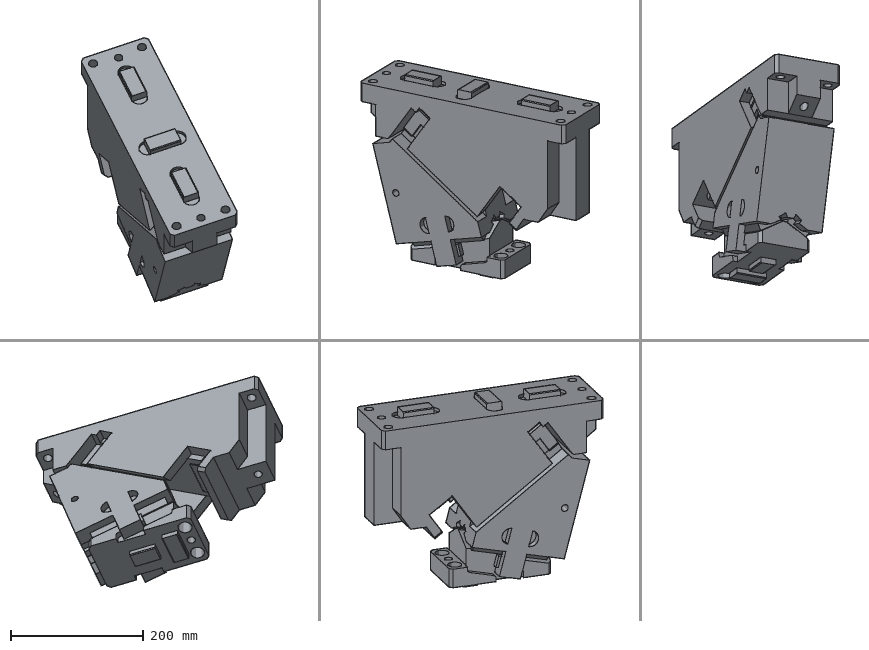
import cadquery as cq
import math

LENGTH = 360.0
HALF_WIDTH = 55.0
CORNER_CHAMFER = 5.0
ROOF_SLOPE = math.tan(math.radians(30))
REACH = 720.0
KEY_HEIGHT = 9.0
KEY_WIDTH = 25.2
KEY_LENGTH = 50.0
KEY_BEVEL = 1.5

DRIVE_ANGLE = math.radians(-15)
DRIVE_ORIGIN = (145.5, -208.8)
GUIDE_ANGLE = math.radians(35)
SLIDE_LEFT_HEIGHT = 24.5

PLATE_THICKNESS = 30.2
BODY_LEFT = 29.5
BODY_RIGHT = 331.2
BODY_BOTTOM = -165.2
RIB_HALF_WIDTH = 19.8
NOSE_BOTTOM = -81.5
NOSE_RIB_BOTTOM = -60.0
ARM_OUTER = -55.0
ARM_INNER = -40.0
ARM_TIP = 34.5
NOTCH_TOP = 75.2
SLOT_TOP = 65.0
WALL_BOTTOM = 5.8
WALL_START = 5.5
WALL_END = 155.5
POCKET_END = 178.5
NOTCH_END = 188.3
CEILING_START = -21.2
PLATE_HOLE_DIAMETER = 13.5
DOWEL_DIAMETER = 12.2

NECK_HALF_WIDTH = 28.5
NECK_HEIGHT = 15.5
HEAD_HALF_WIDTH = 39.0
HEAD_HEIGHT = 61.2
HEAD_END = 183.2
TAB_START = 56.5
TAB_END = 91.8
TAB_BOTTOM = -40.5
POCKET_FLOOR = 44.3
SLIDE_BOTTOM_LENGTH = 154.8

BASE_LEFT = 114.0
BASE_RIGHT = 279.5
BASE_TOP = -244.8
BASE_BOTTOM = -275.0
DRIVER_HALF_WIDTH = 43.2
BLOCK_LEFT = 143.3
NECK_SIDE = 35.0
RIDGE_HALF_WIDTH = 3.2
EAVE_HEIGHT = -8.5


def frame_point(origin, angle, along, height):
    """Turn a position in a tilted guide frame into X and Z."""
    x = origin[0] + along * math.cos(angle) - height * math.sin(angle)
    z = origin[1] + along * math.sin(angle) + height * math.cos(angle)
    return (x, z)


def on_drive(along, height):
    return frame_point(DRIVE_ORIGIN, DRIVE_ANGLE, along, height)


GUIDE_ORIGIN = on_drive(0, SLIDE_LEFT_HEIGHT)


def on_guide(along, height):
    return frame_point(GUIDE_ORIGIN, GUIDE_ANGLE, along, height)


def side_prism(points, y_from, y_to):
    """Prism with an XZ outline, reaching from y_from to y_to."""
    return cq.Workplane("XZ", origin=(0, y_from, 0)).polyline(points).close().extrude(y_from - y_to)


def centred_prism(points, half_width):
    return side_prism(points, -half_width, half_width)


def both_sides(points, y_inner, y_outer):
    """The same prism on the -Y and on the +Y side."""
    return side_prism(points, -y_outer, -y_inner).union(side_prism(points, y_inner, y_outer))


def frame_rectangle(place, start, end, bottom, top):
    return [place(start, bottom), place(end, bottom), place(end, top), place(start, top)]


def guide_profile(place, angle, profile, start, end):
    """Sweep a (y, height) outline along a tilted guide from start to end."""
    x, z = place(start, 0)
    direction = (math.cos(angle), 0, math.sin(angle))
    plane = cq.Plane(origin=(x, 0, z), xDir=(0, 1, 0), normal=direction)
    return cq.Workplane(plane).polyline(profile).close().extrude(end - start)


def mirrored(half_profile):
    """Close a one-sided (y, height) outline over the plane y = 0."""
    return half_profile + [(-y, height) for y, height in reversed(half_profile)]


def roof_height(y):
    return EAVE_HEIGHT + (NECK_SIDE - y) * ROOF_SLOPE


def chamfered_plate(left, right, half_width, bottom, top):
    plate = cq.Workplane("XY", origin=(0, 0, bottom)).center((left + right) / 2, 0)
    return plate.rect(right - left, 2 * half_width).extrude(top - bottom).edges("|Z").chamfer(CORNER_CHAMFER)


def key(length, root, tip):
    """Key along X from root to tip, bevelled along the long edges of the tip."""
    block = cq.Workplane("XY", origin=(0, 0, root)).rect(length, KEY_WIDTH).extrude(tip - root)
    free_end = ">Z" if tip > root else "<Z"
    return block.faces(free_end).edges("|X").chamfer(KEY_BEVEL)


def quarter_turn(body):
    return body.rotate((0, 0, 0), (0, 0, 1), 90)


def holder_body():
    shoulder = [(BODY_LEFT, -140.8), (45.7, BODY_BOTTOM)]
    arm_root = (71.3, BODY_BOTTOM)
    arm_and_notch = [
        on_guide(ARM_OUTER, ARM_TIP),
        on_guide(ARM_INNER, ARM_TIP),
        on_guide(ARM_INNER, NOTCH_TOP),
        on_guide(WALL_START, NOTCH_TOP),
        on_guide(WALL_START, WALL_BOTTOM),
    ]
    notch_foot = (309.5, NOSE_BOTTOM)
    outline = [(BODY_LEFT, -PLATE_THICKNESS)] + shoulder + [arm_root] + arm_and_notch
    outline += [on_guide(NOTCH_END, WALL_BOTTOM), notch_foot]
    outline += [(BODY_RIGHT, NOSE_BOTTOM), (BODY_RIGHT, -PLATE_THICKNESS)]
    return centred_prism(outline, HALF_WIDTH)


def upper_notch():
    """Notch at the upper end of the guide; it runs up into the plate."""
    return [
        on_guide(WALL_END, 0),
        on_guide(WALL_END, NOTCH_TOP),
        on_guide(POCKET_END, NOTCH_TOP),
        on_guide(POCKET_END, SLOT_TOP),
        on_guide(NOTCH_END, SLOT_TOP),
        on_guide(NOTCH_END, 0),
    ]


def arm_tip_chamfers():
    """Wedges that bevel the two outer corners of the arm tip."""
    corner = [
        (HALF_WIDTH, ARM_TIP),
        (HALF_WIDTH, ARM_TIP + CORNER_CHAMFER),
        (HALF_WIDTH - CORNER_CHAMFER, ARM_TIP),
    ]
    wedge = guide_profile(on_guide, GUIDE_ANGLE, corner, ARM_OUTER - 3.5, ARM_INNER + 3.5)
    return wedge.union(wedge.mirror("XZ"))


def holder_end_ribs():
    left = [(0, 0), (BODY_LEFT + 18, 0), (BODY_LEFT + 18, BODY_BOTTOM), (0, BODY_BOTTOM)]
    right = [(BODY_RIGHT, 0), (LENGTH, 0), (LENGTH, NOSE_RIB_BOTTOM), (BODY_RIGHT, NOSE_BOTTOM)]
    return centred_prism(left, RIB_HALF_WIDTH).union(centred_prism(right, RIB_HALF_WIDTH))


def holder_guide_slot():
    """Slot for the slide head, opening below into a 30 degree V."""
    mouth = NECK_HEIGHT - (HALF_WIDTH - HEAD_HALF_WIDTH) * ROOF_SLOPE
    half = [
        (HEAD_HALF_WIDTH, SLOT_TOP),
        (HEAD_HALF_WIDTH, NECK_HEIGHT),
        (HALF_WIDTH, mouth),
        (HALF_WIDTH, 0),
    ]
    return guide_profile(on_guide, GUIDE_ANGLE, mirrored(half), WALL_START, WALL_END)


def holder_keys(plate):
    pocket_length = KEY_LENGTH + KEY_WIDTH
    pocket_depth = 5.0
    for x, crosswise in ((75.2, False), (193.0, True), (280.5, False)):
        pocket = cq.Workplane("XY").slot2D(pocket_length, KEY_WIDTH).extrude(-pocket_depth)
        block = key(KEY_LENGTH, -pocket_depth, KEY_HEIGHT)
        if crosswise:
            pocket = quarter_turn(pocket)
            block = quarter_turn(block)
        plate = plate.cut(pocket.translate((x, 0, 0))).union(block.translate((x, 0, 0)))
    return plate


def make_holder():
    holder = chamfered_plate(0, LENGTH, HALF_WIDTH, -PLATE_THICKNESS, 0)
    holder = holder.union(holder_body().cut(arm_tip_chamfers()).cut(holder_guide_slot()))
    holder = holder.cut(centred_prism(upper_notch(), HALF_WIDTH))
    holder = holder.union(holder_end_ribs())
    ceiling = frame_rectangle(on_guide, CEILING_START, POCKET_END, SLOT_TOP, NOTCH_TOP)
    holder = holder.union(centred_prism(ceiling, HEAD_HALF_WIDTH))
    shoe_bottom = SLOT_TOP - 1.8
    shoe = [
        on_guide(CEILING_START, SLOT_TOP),
        on_guide(CEILING_START + 7.2, shoe_bottom),
        on_guide(WALL_START, shoe_bottom),
        on_guide(WALL_START, SLOT_TOP),
    ]
    holder = holder.union(centred_prism(shoe, NECK_HALF_WIDTH))
    holder = holder_keys(holder)
    screw_y = 40.0
    screws = [(x, y) for x in (15.0, 345.0) for y in (-screw_y, screw_y)]
    dowels = [(19.8, 0), (345.0, 0)]
    for places, diameter in ((screws, PLATE_HOLE_DIAMETER), (dowels, DOWEL_DIAMETER)):
        drill = cq.Workplane("XY").pushPoints(places).circle(diameter / 2).extrude(-REACH)
        holder = holder.cut(drill)
    return holder


def slide_block():
    top_corner = 30.0
    right_height = 160.0
    outline = [
        on_drive(0, 0),
        GUIDE_ORIGIN,
        on_guide(HEAD_END, 0),
        on_drive(SLIDE_BOTTOM_LENGTH - top_corner, right_height),
        on_drive(SLIDE_BOTTOM_LENGTH, right_height),
        on_drive(SLIDE_BOTTOM_LENGTH, 0),
    ]
    return centred_prism(outline, HALF_WIDTH)


def slide_rail():
    """T-shaped rail on the ledge; its lower end continues the end face of the block."""
    lean = math.tan(GUIDE_ANGLE - DRIVE_ANGLE)

    def layer(bottom, top, end):
        return [
            on_guide(bottom * lean, bottom),
            on_guide(end, bottom),
            on_guide(end, top),
            on_guide(top * lean, top),
        ]

    rail = centred_prism(layer(0, NECK_HEIGHT, HEAD_END), NECK_HALF_WIDTH)
    rail = rail.union(centred_prism(layer(NECK_HEIGHT, HEAD_HEIGHT, HEAD_END), HEAD_HALF_WIDTH))
    rail = rail.union(centred_prism(layer(HEAD_HEIGHT, SLOT_TOP, POCKET_END), NECK_HALF_WIDTH))
    recess_reach = 9.7
    recess_end = WALL_END + recess_reach
    recess = frame_rectangle(on_guide, WALL_END - recess_reach, recess_end, NECK_HEIGHT, 44.0)
    recess_depth = 5.5
    rail = rail.cut(both_sides(recess, HEAD_HALF_WIDTH - recess_depth, HEAD_HALF_WIDTH))
    step = frame_rectangle(on_guide, recess_end, HEAD_END, NECK_HEIGHT, 17.5)
    step_depth = 1.8
    return rail.cut(both_sides(step, HEAD_HALF_WIDTH - step_depth, HEAD_HALF_WIDTH))


GUIDE_SEAT = [(5.5, 14.0), (8.5, 20.0), (18.7, 13.0), (15.5, 8.0), (30.5, 0)]


def guide_pads():
    """Pads that rest on the driver roof and stand proud of the slide bottom."""
    pad_inner = GUIDE_SEAT[0][0]
    lip_top = 43.5
    lip_y = (lip_top + ROOF_SLOPE * (EAVE_HEIGHT + NECK_SIDE * ROOF_SLOPE)) / (1 + ROOF_SLOPE ** 2)
    profile = [(pad_inner, roof_height(pad_inner))] + GUIDE_SEAT
    profile += [(lip_top, 0), (lip_y, roof_height(lip_y))]
    pad = guide_profile(on_drive, DRIVE_ANGLE, profile, 9.0, 134.5)
    return pad.union(pad.mirror("XZ"))


def side_tabs(slide):
    """Retaining tabs, each set in a round-ended pocket, with a wider pad on the inner part."""
    slot_height = 25.0
    slot_length = TAB_END - TAB_START + KEY_WIDTH
    x, z = on_drive((TAB_START + TAB_END) / 2, slot_height)
    slot = cq.Workplane("XZ", origin=(x, HALF_WIDTH, z))
    slot = slot.slot2D(slot_length, KEY_WIDTH, math.degrees(DRIVE_ANGLE)).extrude(HALF_WIDTH - POCKET_FLOOR)
    slide = slide.cut(slot).cut(slot.mirror("XZ"))
    tab_top = slot_height + KEY_WIDTH / 2
    pad_top = -11.5
    pad_bottom = -30.2
    pad_overhang = 4.0
    pad_outer = 43.5
    root = frame_rectangle(on_drive, TAB_START, TAB_END, pad_top, tab_top)
    tab = frame_rectangle(on_drive, TAB_START, TAB_END, TAB_BOTTOM, pad_top)
    inner_pad = frame_rectangle(on_drive, TAB_START - pad_overhang, TAB_END, pad_bottom, pad_top)
    slide = slide.union(both_sides(root, POCKET_FLOOR, HALF_WIDTH))
    slide = slide.union(both_sides(tab, NECK_SIDE, HALF_WIDTH))
    return slide.union(both_sides(inner_pad, NECK_SIDE, pad_outer))


def drilled_hole():
    """Blind hole along +Y with a conical tip."""
    radius = 5.5
    depth = 21.5
    tip = depth + radius * ROOF_SLOPE
    profile = [(0, 0), (radius, 0), (radius, depth), (0, tip)]
    return cq.Workplane("XY").polyline(profile).close().revolve(360, (0, 0, 0), (0, 1, 0))


def make_slide():
    seat = guide_profile(on_drive, DRIVE_ANGLE, mirrored(GUIDE_SEAT), -3.5, REACH)
    slide = slide_block().cut(seat).union(guide_pads()).union(slide_rail())
    slide = side_tabs(slide)
    x, z = on_drive(134.3, 80.0)
    hole = drilled_hole().translate((x, -HALF_WIDTH, z))
    return slide.cut(hole).cut(hole.mirror("XZ"))


def roofed_block():
    block = chamfered_plate(BASE_LEFT, BASE_RIGHT, DRIVER_HALF_WIDTH, BASE_BOTTOM, 0)
    half = [
        (RIDGE_HALF_WIDTH, roof_height(RIDGE_HALF_WIDTH)),
        (DRIVER_HALF_WIDTH, roof_height(DRIVER_HALF_WIDTH)),
        (DRIVER_HALF_WIDTH, -REACH),
    ]
    below_roof = guide_profile(on_drive, DRIVE_ANGLE, mirrored(half), -REACH, REACH)
    step = cq.Workplane("XY", origin=(0, 0, BASE_TOP)).rect(2 * BLOCK_LEFT, REACH).extrude(REACH)
    return block.intersect(below_roof).cut(step)


def tab_clearance():
    """Side cut for the slide tabs: sloping floor on the left, slot through the bottom."""
    floor_left = -253.0
    recess_left = BLOCK_LEFT - 0.7
    slot_left = 189.0
    slot_right = 233.5
    slot_top = -261.7
    floor_right = floor_left + (slot_left - recess_left) * math.tan(DRIVE_ANGLE)
    lean = math.tan(DRIVE_ANGLE)
    tab_foot = on_drive(TAB_END, TAB_BOTTOM)
    channel_right = tab_foot[0] - (slot_top - tab_foot[1]) * lean
    top = on_drive(TAB_END, 36)
    outline = [
        (recess_left, top[1]),
        (recess_left, floor_left),
        (slot_left, floor_right),
        (slot_left, BASE_BOTTOM),
        (slot_right, BASE_BOTTOM),
        (slot_right, slot_top),
        (channel_right, slot_top),
        top,
    ]

    def rounded(y_inner, y_outer):
        cut = side_prism(outline, y_inner, y_outer)
        for x, z in ((recess_left, floor_left), (slot_left, floor_right), (slot_right, slot_top)):
            near = cq.selectors.BoxSelector((x - 0.5, -REACH, z - 0.5), (x + 0.5, REACH, z + 0.5))
            cut = cut.edges("|Y").edges(near).fillet(5.5)
        return cut

    far_side = DRIVER_HALF_WIDTH + 3.5
    return rounded(-far_side, -NECK_SIDE).union(rounded(NECK_SIDE, far_side))


def make_driver():
    driver = roofed_block().cut(tab_clearance())
    key_tip = BASE_BOTTOM - KEY_HEIGHT
    cross_key = quarter_turn(key(KEY_LENGTH, BASE_BOTTOM, key_tip))
    driver = driver.union(cross_key.translate((153.7, 0, 0)))
    driver = driver.union(key(40.5, BASE_BOTTOM, key_tip).translate((202.5, 0, 0)))
    hole_x = 128.0
    screw_y = 26.3
    for y, diameter in ((-screw_y, 21.0), (0, DOWEL_DIAMETER), (screw_y, 21.0)):
        drill = cq.Workplane("XY", origin=(hole_x, y, BASE_TOP)).circle(diameter / 2)
        driver = driver.cut(drill.extrude(BASE_BOTTOM - BASE_TOP))
    return driver


holder = make_holder()
slide = make_slide()
driver = make_driver()

result = cq.Compound.makeCompound([*holder.solids().vals(), *slide.solids().vals(), *driver.solids().vals()])